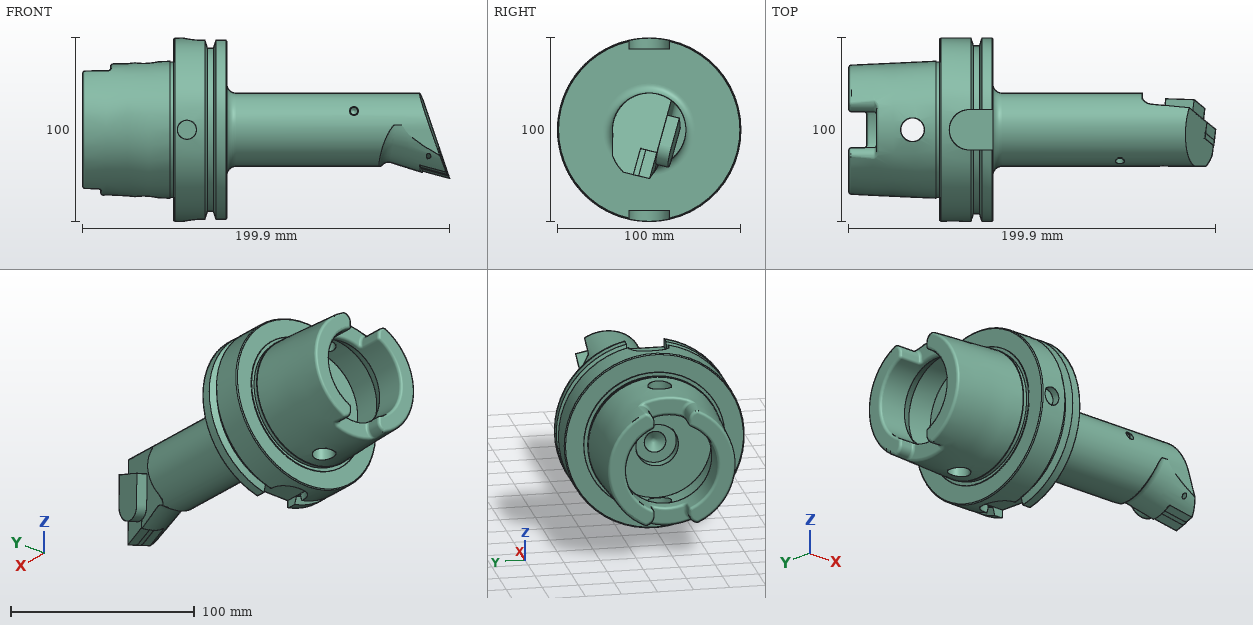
import cadquery as cq
import math


taper_length = 49.5
taper_end_radius = 35.2
taper_base_radius = 37.4
end_rounding = 1.5
relief_radius = 37.0
relief_width = 2.0
face_groove_radius = 39.2
face_groove_depth = 0.5

flange_width = 29.0
flange_radius = 50.0
flange_chamfer = 0.5
groove_start = 17.0
groove_end = 23.0
groove_land_radius = 45.8
groove_flank_run = 1.4

bar_radius = 20.0
bar_fillet = 5.0

bore_radius = 25.5
bore_depth = 18.2
recess_radius = 30.0
recess_half_angle = 30.0
floor_depth = 42.0
seat_radius = 11.8
seat_depth = 6.0
centre_hole_radius = 6.0
drill_half_angle = 59.0

slot_half_width = 9.8
slot_shoulder_height = 32.2
slot_round = 5.2
slot_shoulder_half_width = 18.0
slot_outer_margin = 2.0
slot_fillet = 1.5
upper_slot_depth = 15.2
lower_slot_depth = 9.8

cross_hole_radius = 6.4
cross_hole_x = -14.8
keyway_half_width = 11.0
keyway_start = 5.2
keyway_floor_height = 44.0
chip_pocket_radius = 5.2
chip_pocket_x = 7.2
chip_pocket_depth = 4.5

screw_radius = 2.4
screw_x = 98.2
screw_height = 10.2
screw_seat_y = -9.0
screw_face_y = -15.0
socket_radius = 2.0

tip = cq.Vector(199.9 - taper_length, 0.2, -26.5)
end_slope = 0.353
end_side_slope = 0.05
rake_z_slope = 0.239
rake_x_slope = -0.114

far = 120.0

head_start = cq.Vector(125.0, 2.2, 3.0)
head_axis = cq.Vector(1.0, -0.115, -0.314).normalized()
head_radius = 22.0
head_fillet = 5.0
head_cut_height = 2.5

flute_length = 41.2
flute_fillet = 6.0

insert_edge = 15.5
insert_angle = math.radians(55.0)
insert_thickness = 6.2
shim_thickness = 3.0
pin_hole_radius = 1.2
pin_up = 10.2
pin_forward = -6.4

clamp_nose_radius = 8.2
clamp_nose_up = 20.4
clamp_end_gap = 0.8
clamp_tail_up = 38.0
clamp_height = 6.8

arc_inset = 1.0 - math.sqrt(0.5)

rake_normal = cq.Vector(-rake_x_slope, 1.0, -rake_z_slope).normalized()
end_normal = cq.Vector(1.0, -end_side_slope, end_slope).normalized()
end_edge = end_normal.cross(rake_normal).normalized()


def rake_plane(height=0.0):
    """Plane parallel to the rake face, raised along its normal."""
    origin = tip + rake_normal.multiply(height)
    return cq.Workplane(cq.Plane(origin=origin, xDir=end_edge, normal=rake_normal))


def turned_blank():
    """Taper, flange and bar turned about the tool axis."""
    bar_end = tip.x + bar_radius
    arc_side = bar_fillet * arc_inset
    return (
        cq.Workplane("XY")
        .moveTo(-taper_length, 0)
        .lineTo(-taper_length, taper_end_radius)
        .lineTo(-relief_width, taper_base_radius)
        .lineTo(-relief_width, relief_radius)
        .lineTo(face_groove_depth, relief_radius)
        .lineTo(face_groove_depth, face_groove_radius)
        .lineTo(0, face_groove_radius)
        .lineTo(0, flange_radius - flange_chamfer)
        .lineTo(flange_chamfer, flange_radius)
        .lineTo(groove_start, flange_radius)
        .lineTo(groove_start + groove_flank_run, groove_land_radius)
        .lineTo(groove_end - groove_flank_run, groove_land_radius)
        .lineTo(groove_end, flange_radius)
        .lineTo(flange_width - flange_chamfer, flange_radius)
        .lineTo(flange_width, flange_radius - flange_chamfer)
        .lineTo(flange_width, bar_radius + bar_fillet)
        .threePointArc(
            (flange_width + arc_side, bar_radius + arc_side),
            (flange_width + bar_fillet, bar_radius),
        )
        .lineTo(bar_end, bar_radius)
        .lineTo(bar_end, 0)
        .close()
        .revolve(360, (0, 0, 0), (1, 0, 0))
    )


def shank_bore():
    """Stepped bore of the hollow taper, widening behind a shoulder, down to a drilled centre."""
    mouth = -taper_length
    shoulder = mouth + bore_depth
    flare_length = (recess_radius - bore_radius) / math.tan(math.radians(recess_half_angle))
    floor = mouth + floor_depth
    seat = floor + seat_depth
    cone_length = centre_hole_radius / math.tan(math.radians(drill_half_angle))
    return (
        cq.Workplane("XY")
        .moveTo(mouth, 0)
        .lineTo(mouth, bore_radius)
        .lineTo(shoulder, bore_radius)
        .lineTo(shoulder + flare_length, recess_radius)
        .lineTo(floor, recess_radius)
        .lineTo(floor, seat_radius)
        .lineTo(seat, seat_radius)
        .lineTo(seat, centre_hole_radius)
        .lineTo(seat + cone_length, 0)
        .close()
        .revolve(360, (0, 0, 0), (1, 0, 0))
    )


def drive_slot(depth, side):
    """Slot in the taper end, widening outwards through rounded shoulders; side is +1 or -1 along Z."""
    mid = slot_round * arc_inset
    shoulder_start = slot_half_width + slot_round
    wall_top = slot_shoulder_height - slot_round
    outer = taper_base_radius + slot_outer_margin
    slot = (
        cq.Workplane("YZ", origin=(-taper_length, 0, 0))
        .moveTo(-slot_half_width, 0)
        .lineTo(-slot_half_width, side * wall_top)
        .threePointArc(
            (-slot_half_width - mid, side * (slot_shoulder_height - mid)),
            (-shoulder_start, side * slot_shoulder_height),
        )
        .lineTo(-slot_shoulder_half_width, side * slot_shoulder_height)
        .lineTo(-slot_shoulder_half_width, side * outer)
        .lineTo(slot_shoulder_half_width, side * outer)
        .lineTo(slot_shoulder_half_width, side * slot_shoulder_height)
        .lineTo(shoulder_start, side * slot_shoulder_height)
        .threePointArc(
            (slot_half_width + mid, side * (slot_shoulder_height - mid)),
            (slot_half_width, side * wall_top),
        )
        .lineTo(slot_half_width, 0)
        .close()
        .extrude(depth)
    )
    return slot.faces(">X").edges().fillet(slot_fillet)


def cross_hole():
    """Hole through the taper along Z."""
    return cq.Workplane("XY").center(cross_hole_x, 0).circle(cross_hole_radius).extrude(far, both=True)


def keyway(side):
    """Round-ended driving keyway across the flange; side is +1 or -1 along Z."""
    centre = keyway_start + keyway_half_width
    length = flange_width - centre
    height = side * flange_radius
    base = cq.Workplane("XY", origin=(0, 0, side * keyway_floor_height))
    end = base.center(centre, 0).circle(keyway_half_width).extrude(height)
    run = base.center(centre + length / 2, 0).rect(length, 2 * keyway_half_width).extrude(height)
    return end.union(run)


def chip_pocket():
    """Flat-bottomed round pocket in the rim of the flange."""
    floor = cq.Workplane("XZ", origin=(chip_pocket_x, -flange_radius + chip_pocket_depth, 0))
    return floor.circle(chip_pocket_radius).extrude(flange_radius)


def head_plane():
    """Plane square to the head axis where the round head begins."""
    side = cq.Vector(0, 1, 0)
    return cq.Plane(origin=head_start, xDir=side.cross(head_axis), normal=head_axis)


def head_bulge():
    """Part of the head that swells below the bar, kept behind the side tangent to the bar."""
    bulge = cq.Workplane(head_plane()).circle(head_radius).extrude(far)
    keep = cq.Workplane("XY").box(far, 2 * bar_radius, far, centered=(False, True, False))
    return bulge.intersect(keep.translate((head_start.x - bar_radius, 0, -far)))


def head_clearance():
    """Ring turned around the head, running out into the bar through a fillet."""
    outer = 2 * head_radius
    mid = head_fillet * math.sqrt(0.5)
    ring = (
        cq.Workplane(cq.Plane(origin=head_start, xDir=head_axis, normal=head_plane().xDir))
        .moveTo(0, head_radius)
        .lineTo(far, head_radius)
        .lineTo(far, outer)
        .lineTo(-head_fillet, outer)
        .lineTo(-head_fillet, head_radius + head_fillet)
        .threePointArc((-mid, head_radius + head_fillet - mid), (0, head_radius))
        .close()
        .revolve(360, (0, 0, 0), (1, 0, 0))
    )
    below = cq.Workplane("XY").box(2 * far, far, far, centered=(True, True, False))
    return ring.intersect(below.translate((head_start.x, 0, head_cut_height - far)))


def end_cut():
    """Everything in front of the slanted end face."""
    return cq.Workplane(cq.Plane(origin=tip, xDir=end_edge, normal=end_normal)).rect(far, far).extrude(far)


def flute():
    """Open space over the rake face, closed at the back by a filleted wall."""
    wall = cq.Vector(-1, 0, 0).cross(rake_normal).multiply(-1.0).normalized()
    back = -flute_length
    mid = flute_fillet * arc_inset
    return (
        cq.Workplane(cq.Plane(origin=tip, xDir=rake_normal.cross(wall), normal=wall))
        .moveTo(far, 0)
        .lineTo(back + flute_fillet, 0)
        .threePointArc((back + mid, mid), (back, flute_fillet))
        .lineTo(back, far)
        .lineTo(far, far)
        .close()
        .extrude(far, both=True)
    )


def rhombus():
    """Corners of the insert outline in the rake frame, with its cutting corner at the tip."""
    rise = insert_edge * math.cos(insert_angle)
    run = insert_edge * math.sin(insert_angle)
    return [(0, 0), (insert_edge, 0), (insert_edge + rise, -run), (rise, -run)]


def make_insert():
    """Rhombic cutting insert, its top in the rake face."""
    return rake_plane().polyline(rhombus()).close().extrude(-insert_thickness)


def make_shim():
    """Shim of the same outline under the insert."""
    return rake_plane(-insert_thickness).polyline(rhombus()).close().extrude(-shim_thickness)


def insert_pocket():
    """Seat of the insert and shim, with the head trimmed flush below their lower edge."""
    corners = rhombus()
    seat = rake_plane().polyline(corners).close().extrude(-insert_thickness - shim_thickness)
    start = cq.Vector(corners[3])
    along = start.normalized()
    outward = cq.Vector(along.y, -along.x, 0).multiply(far)
    beyond = along.multiply(-insert_edge)
    outline = [start, start + outward, beyond + outward, beyond]
    trim = rake_plane().polyline([(p.x, p.y) for p in outline]).close().extrude(-far / 2)
    return seat.union(trim)


def pin_hole():
    """Hole that runs square to the rake face, out through the lower side of the head."""
    return rake_plane().center(pin_up, pin_forward).circle(pin_hole_radius).extrude(-far / 2)


def make_clamp():
    """Block on the rake face whose round nose reaches down over the insert."""
    centre_line = -clamp_end_gap - clamp_nose_radius
    length = clamp_tail_up - clamp_nose_up
    nose = rake_plane().center(clamp_nose_up, centre_line).circle(clamp_nose_radius).extrude(clamp_height)
    shank = rake_plane().center(clamp_nose_up + length / 2, centre_line)
    return nose.union(shank.rect(length, 2 * clamp_nose_radius).extrude(clamp_height))


def screw_hole():
    """Blind hole for the set screw, open to the side of the bar."""
    seat = cq.Workplane("XZ", origin=(screw_x, screw_seat_y, screw_height))
    return seat.circle(screw_radius).extrude(bar_radius)


def make_screw():
    """Set screw with a drilled conical recess in its outer end."""
    depth = socket_radius / math.tan(math.radians(drill_half_angle))
    length = screw_seat_y - screw_face_y
    return (
        cq.Workplane("XY", origin=(screw_x, screw_seat_y, screw_height))
        .lineTo(screw_radius, 0)
        .lineTo(screw_radius, -length)
        .lineTo(socket_radius, -length)
        .lineTo(0, depth - length)
        .close()
        .revolve(360, (0, 0, 0), (0, 1, 0))
    )


def make_holder():
    """Tool holder: hollow taper, flange, bar and head in one piece."""
    body = turned_blank().cut(shank_bore())
    body = body.faces("<X").edges().fillet(end_rounding)
    body = body.cut(drive_slot(upper_slot_depth, 1)).cut(drive_slot(lower_slot_depth, -1))
    body = body.faces("<X").edges().fillet(end_rounding)
    body = body.cut(cross_hole()).cut(chip_pocket())
    for side in (1, -1):
        body = body.cut(keyway(side))
    body = body.cut(head_clearance()).union(head_bulge())
    body = body.cut(end_cut()).cut(flute())
    return body.cut(insert_pocket()).cut(pin_hole()).cut(screw_hole())


holder = make_holder()
insert = make_insert()
shim = make_shim()
clamp = make_clamp()
screw = make_screw()

result = cq.Compound.makeCompound([holder.val(), insert.val(), shim.val(), clamp.val(), screw.val()])